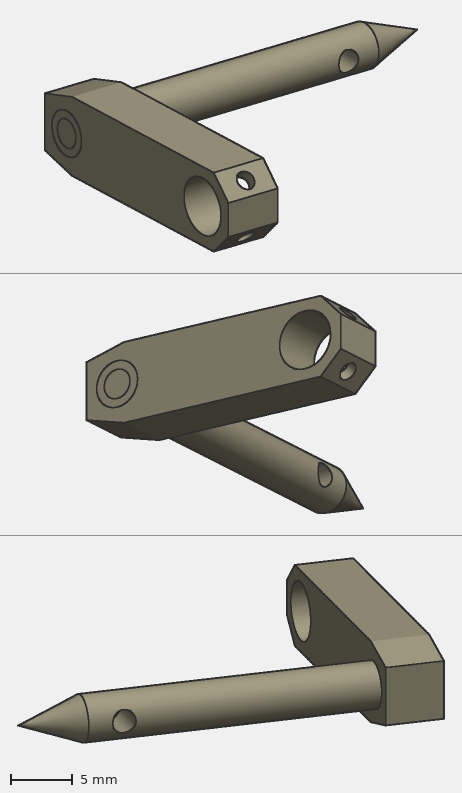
import cadquery as cq
import math

arm_length = 25.0
arm_height = 7.0
arm_thickness = 5.0
taper_length = 3.73
taper_drop = 1.0
chamfer = 2.0

bore_diameter = 5.0
bore_x = 21.47
radial_hole_diameter = 1.6
radial_hole_angles = (-45, 45)
radial_hole_reach = arm_height

overall_depth = 35.5
pin_x = 3.0
pin_diameter = 4.0
point_length = 5.4
cross_hole_diameter = 2.0
cross_hole_setback = 8.45

plug_diameter = 2.52
plug_length = arm_thickness


def cylinder_along_y(diameter, length, x):
    """Cylinder at the given X, running from the front face toward +Y."""
    start = cq.Vector(x, 0, 0)
    return cq.Workplane(cq.Solid.makeCylinder(diameter / 2, length, start, cq.Vector(0, 1, 0)))


def radial_hole(angle):
    """Cutter from the bore axis outward, at an angle above +X in the XZ plane."""
    start = cq.Vector(bore_x, arm_thickness / 2, 0)
    direction = cq.Vector(math.cos(math.radians(angle)), 0, math.sin(math.radians(angle)))
    return cq.Solid.makeCylinder(radial_hole_diameter / 2, radial_hole_reach, start, direction)


def make_arm():
    half_height = arm_height / 2
    upper_outline = [
        (0, half_height - taper_drop),
        (taper_length, half_height),
        (arm_length - chamfer, half_height),
        (arm_length, half_height - chamfer),
    ]
    lower_outline = [(x, -z) for x, z in reversed(upper_outline)]
    arm = cq.Workplane("XZ").polyline(upper_outline + lower_outline).close().extrude(-arm_thickness)
    arm = arm.cut(cylinder_along_y(bore_diameter, arm_thickness, bore_x))
    arm = arm.cut(cylinder_along_y(pin_diameter, arm_thickness, pin_x))
    for angle in radial_hole_angles:
        arm = arm.cut(radial_hole(angle))
    return arm


def make_pin():
    radius = pin_diameter / 2
    half_profile = [
        (pin_x, 0),
        (pin_x + radius, 0),
        (pin_x + radius, overall_depth - point_length),
        (pin_x, overall_depth),
    ]
    pin = cq.Workplane("XY").polyline(half_profile).close().revolve(360, (pin_x, 0), (pin_x, 1))
    cross_hole = cq.Solid.makeCylinder(
        cross_hole_diameter / 2,
        pin_diameter,
        cq.Vector(pin_x - radius, overall_depth - cross_hole_setback, 0),
        cq.Vector(1, 0, 0),
    )
    return pin.cut(cross_hole).cut(make_plug())


def make_plug():
    return cylinder_along_y(plug_diameter, plug_length, pin_x)


arm = make_arm()
pin = make_pin()
plug = make_plug()

result = cq.Compound.makeCompound([arm.val(), pin.val(), plug.val()])